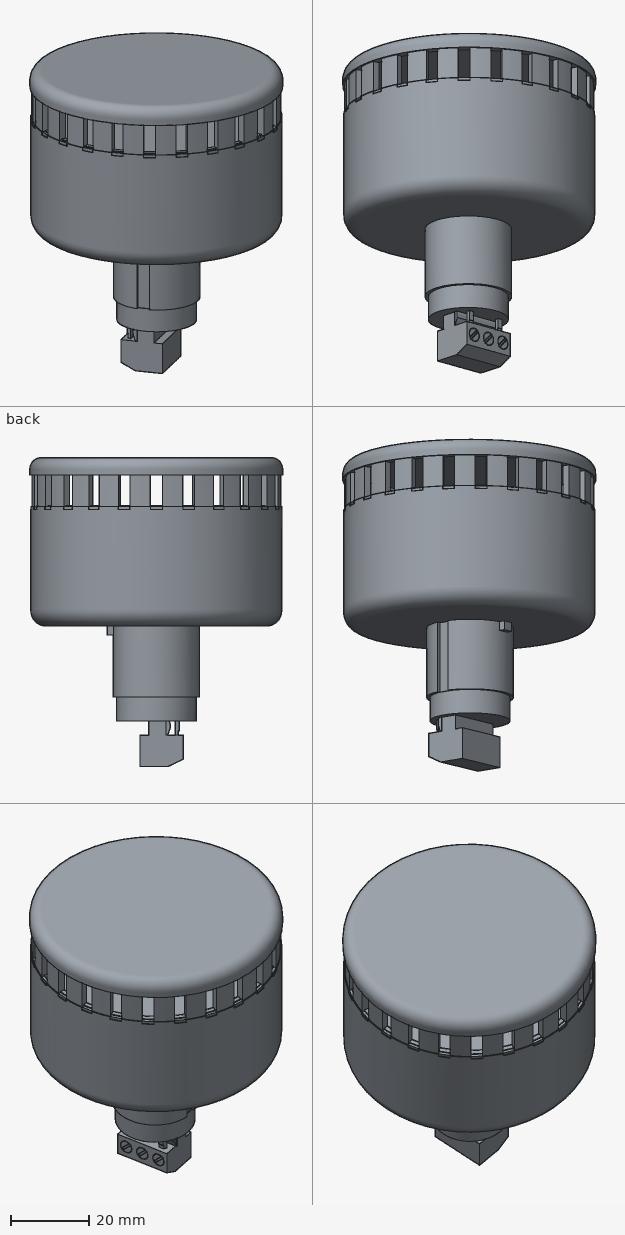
import cadquery as cq

drum_radius = 32.05
drum_height = 43.0
base_fillet = 4.0
cap_radius = 32.3
cap_fillet = 3.0
cap_rim_height = 1.5
cap_height = cap_fillet + cap_rim_height
cap_plate_thickness = 2.0
cap_z = drum_height - cap_height
band_height = 8.0
ledge_z = cap_z - band_height
band_radius = 31.8
band_inner_radius = 29.85

slot_count = 24
slot_width = 3.0
sill_step_radius = 31.1
sill_step_height = 0.26
notch_depth = 0.75

stem_y = 0.3
stem_radius = 11.05
stem_length = 18.1
key_groove_width = 3.4
key_groove_floor_radius = 10.0
collar_radius = 10.2
collar_length = 6.1
collar_z = -stem_length - collar_length
tab_reach = 1.5
tab_width = 3.0
tab_height = 2.3

block_y = -0.35
block_width = 15.1
block_left = -6.9
block_right = 4.2
block_height = 8.0
block_chamfer_x = 3.85
block_chamfer_z = 1.9
neck_left = -2.5
neck_right = 1.95
neck_height = 3.6
shoulder_z = collar_z - neck_height
block_bottom = shoulder_z - block_height

bulge_top_reach = 0.8
bulge_full_reach = 1.05
bulge_bottom_reach = 0.4
bulge_top_slope_height = 0.8
bulge_flat_height = 1.0
bulge_overhang = 0.25

clip_pitch = 9.9
clip_width = 1.35
clip_left = -5.85
clip_thickness = 1.05
clip_foot_height = 1.1
clip_foot_setback = 0.25
clip_bevel_width = 0.55

screw_count = 3
screw_pitch = 4.95
screw_diameter = 3.5
screw_z = block_bottom + 5.0
screw_slot_width = 0.6
screw_slot_depth = 0.5
screw_gap = 0.1
screw_slot_angle = 45.0


def disc(radius, bottom, top, y=0.0):
    return cq.Workplane("XY", origin=(0, y, bottom)).circle(radius).extrude(top - bottom)


def box(x0, x1, y0, y1, z0, z1):
    return cq.Workplane("XY").box(x1 - x0, y1 - y0, z1 - z0, centered=False).translate((x0, y0, z0))


def make_slot():
    """Cutter for one radial slot on the +X side, with its stepped sill and outer notch."""
    half = slot_width / 2
    inner = box(band_inner_radius - 1, sill_step_radius, -half, half, ledge_z + sill_step_height, cap_z)
    outer = box(sill_step_radius, cap_radius, -half, half, ledge_z, cap_z)
    notch = box(band_radius, cap_radius, -half, half, ledge_z - notch_depth, ledge_z)
    return inner.union(outer).union(notch)


def make_drum():
    cup = disc(drum_radius, 0, ledge_z).faces("<Z").edges().fillet(base_fillet)
    band = disc(band_radius, ledge_z, cap_z)
    cap = disc(cap_radius, cap_z, drum_height).faces(">Z").edges().fillet(cap_fillet)
    drum = cup.union(band).union(cap)
    drum = drum.cut(disc(band_inner_radius, ledge_z, drum_height - cap_plate_thickness))
    slot = make_slot()
    for i in range(slot_count):
        drum = drum.cut(slot.rotate((0, 0, 0), (0, 0, 1), i * 360 / slot_count))
    return drum


def make_stem():
    stem = disc(stem_radius, -stem_length, 0, stem_y)
    half_groove = key_groove_width / 2
    groove = box(-half_groove, half_groove, -stem_radius, -key_groove_floor_radius, -stem_length, 0)
    stem = stem.cut(groove.translate((0, stem_y, 0)))
    collar = disc(collar_radius, collar_z, -stem_length, stem_y)
    tab = box(0, stem_radius + tab_reach, -tab_width / 2, tab_width / 2, -tab_height, 0)
    return stem.union(collar).union(tab.translate((0, stem_y, 0)))


def make_bulge():
    """Faceted strip along the -X side of the neck, slightly longer than the block."""
    flat_top = collar_z - bulge_top_slope_height
    outline = [
        (neck_left, collar_z),
        (neck_left - bulge_top_reach, collar_z),
        (neck_left - bulge_full_reach, flat_top),
        (neck_left - bulge_full_reach, flat_top - bulge_flat_height),
        (neck_left - bulge_bottom_reach, shoulder_z),
        (neck_left, shoulder_z),
    ]
    length = block_width + 2 * bulge_overhang
    back = block_y + length / 2
    return cq.Workplane("XZ", origin=(0, back, 0)).polyline(outline).close().extrude(length)


def make_clip():
    """One latch clip at Y = 0: an upright plate with a bevel on its -Y side and a set-back foot."""
    half = clip_width / 2
    right = clip_left + clip_thickness
    section = [
        (clip_left, half),
        (clip_left, -half),
        (right, -half - clip_bevel_width),
        (right, half),
    ]
    clip = cq.Workplane("XY", origin=(0, 0, shoulder_z)).polyline(section).close().extrude(neck_height)
    foot_top = shoulder_z + clip_foot_height
    setback = box(clip_left, clip_left + clip_foot_setback, -clip_width, clip_width, shoulder_z, foot_top)
    return clip.cut(setback)


def make_screw_cut():
    """Ring gap and driver slot of one screw head, sunk in from the -X face at Y = 0."""
    face = cq.Workplane("YZ", origin=(block_left, 0, screw_z))
    gap = face.circle(screw_diameter / 2).circle(screw_diameter / 2 - screw_gap).extrude(screw_slot_depth)
    slot = face.transformed(rotate=(0, 0, -screw_slot_angle))
    slot = slot.rect(screw_diameter - screw_gap, screw_slot_width).extrude(screw_slot_depth)
    return slot.union(gap)


def make_terminal_block():
    outline = [
        (block_left + block_chamfer_x, block_bottom),
        (block_right, block_bottom),
        (block_right, shoulder_z),
        (neck_right, shoulder_z),
        (neck_right, collar_z),
        (neck_left, collar_z),
        (neck_left, shoulder_z),
        (block_left, shoulder_z),
        (block_left, block_bottom + block_chamfer_z),
    ]
    back = block_y + block_width / 2
    block = cq.Workplane("XZ", origin=(0, back, 0)).polyline(outline).close().extrude(block_width)
    block = block.union(make_bulge())
    for side in (-1, 1):
        block = block.union(make_clip().translate((0, block_y + side * clip_pitch / 2, 0)))
    for i in range(screw_count):
        y = block_y + (i - (screw_count - 1) / 2) * screw_pitch
        block = block.cut(make_screw_cut().translate((0, y, 0)))
    return block


housing = make_drum().union(make_stem())
terminal_block = make_terminal_block()

result = cq.Compound.makeCompound([housing.val(), terminal_block.val()])